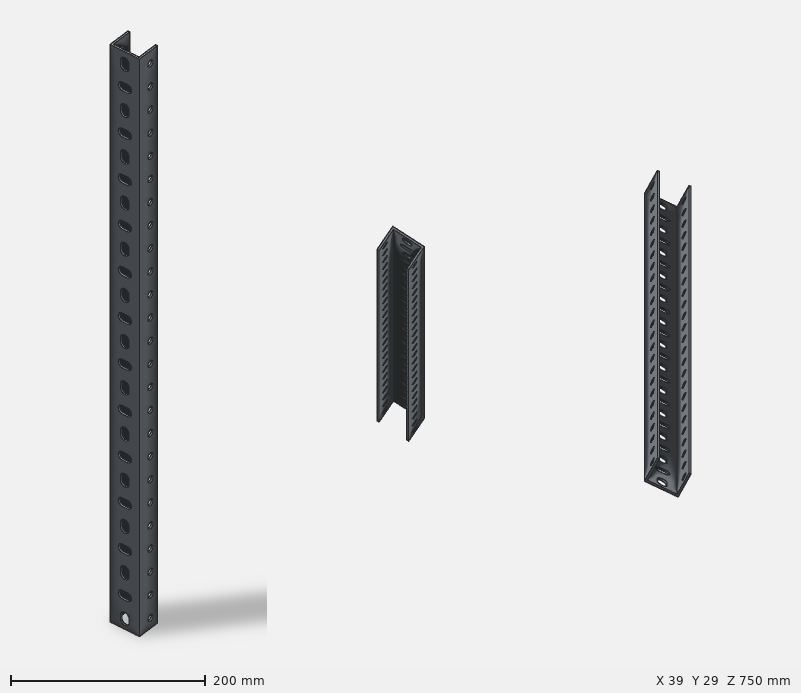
import cadquery as cq

length = 750.0
width = 39.0
depth = 29.0
wall = 2.5

pitch = 30.0
station_count = 25
first_station = 13.5
slot_width = 11.0
slot_length = 17.0
flange_hole_diameter = 8.0
flange_hole_from_web = 18.0

stations = [first_station + i * pitch for i in range(station_count)]


def channel():
    """U-shaped bar along Z, with the outer face of the web at Y = 0."""
    outer = cq.Workplane("XY").rect(width, depth).extrude(length)
    inner_width = width - 2 * wall
    inner = (
        cq.Workplane("XY")
        .center(0, wall)
        .rect(inner_width, depth)
        .extrude(length)
    )
    return outer.cut(inner).translate((0, depth / 2, 0))


def web_slots(heights, angle):
    """Cutters through the web; angle 0 lies along X, 90 stands along Z."""
    return (
        cq.Workplane("XZ")
        .pushPoints([(0, z) for z in heights])
        .slot2D(slot_length, slot_width, angle)
        .extrude(wall, both=True)
    )


def flange_holes():
    """Round cutters that pass through both flanges."""
    return (
        cq.Workplane("YZ")
        .pushPoints([(flange_hole_from_web, z) for z in stations])
        .circle(flange_hole_diameter / 2)
        .extrude(width, both=True)
    )


upright_slots = web_slots(stations[0::2], 90)
lying_slots = web_slots(stations[1::2], 0)

result = channel().cut(upright_slots).cut(lying_slots).cut(flange_holes())